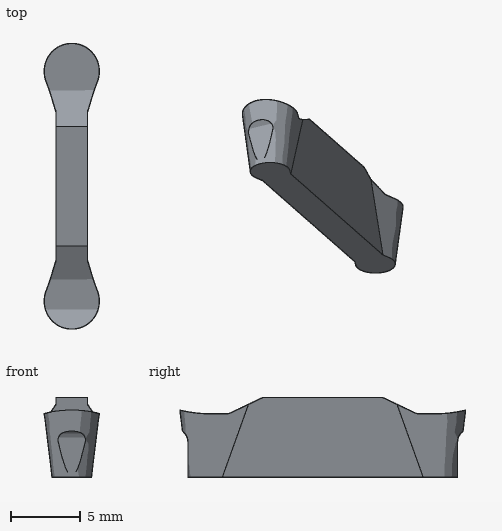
import cadquery as cq
import math

overall_length = 20.66
body_width = 2.3
body_height = 5.78
shelf_height = 4.59
nose_radius = 2.0
clearance_angle = math.radians(7)
neck_angle = math.radians(20)

crown_half_length = 4.31
ramp_angle = math.radians(25.5)
ramp_root_radius = 0.7
rake_start = 8.04
rake_radius = 10.0

relief_y = 9.75
relief_straight_height = 2.54
relief_runout_radius = 1.0

rake_length = overall_length / 2 - rake_start
tip_rise = rake_radius - math.sqrt(rake_radius**2 - rake_length**2)
tip_overhang = tip_rise * math.tan(clearance_angle)
nose_center_y = overall_length / 2 - nose_radius - tip_overhang
ramp_end_y = crown_half_length + (body_height - shelf_height) / math.tan(ramp_angle)
cut_margin = 1.0
cut_end_y = overall_length / 2 + cut_margin
cut_width = 2 * (nose_radius + cut_margin)


def nose_radius_at(z):
    """Radius of the nose cone at height z."""
    return nose_radius + (z - shelf_height) * math.tan(clearance_angle)


def add_outline(plane, radius):
    """Dog-bone outline: a parallel body, necks tangent to a round nose at each end."""
    half_width = body_width / 2
    tangent_x = radius * math.cos(neck_angle)
    tangent_y = nose_center_y - radius * math.sin(neck_angle)
    tip_y = nose_center_y + radius
    neck_y = tangent_y - (tangent_x - half_width) / math.tan(neck_angle)
    return (
        plane.moveTo(half_width, -neck_y)
        .lineTo(half_width, neck_y)
        .lineTo(tangent_x, tangent_y)
        .threePointArc((0, tip_y), (-tangent_x, tangent_y))
        .lineTo(-half_width, neck_y)
        .lineTo(-half_width, -neck_y)
        .lineTo(-tangent_x, -tangent_y)
        .threePointArc((0, -tip_y), (tangent_x, -tangent_y))
        .close()
    )


def make_blank():
    """Full-height blank whose noses and necks taper by the clearance angle."""
    base = add_outline(cq.Workplane("XY"), nose_radius_at(0))
    top_plane = base.workplane(offset=body_height)
    return add_outline(top_plane, nose_radius_at(body_height)).loft(ruled=True)


def extrude_across(profile):
    """Extrude a YZ profile across the full width, centred on X = 0."""
    return profile.extrude(cut_width / 2, both=True)


def make_top_cut():
    """Material above the ramp, shelf and concave rake face of the +Y end."""
    root_tangent = ramp_root_radius * math.tan(ramp_angle / 2)
    root_start_y = ramp_end_y - root_tangent * math.cos(ramp_angle)
    root_start_z = shelf_height + root_tangent * math.sin(ramp_angle)
    rake_end_length = cut_end_y - rake_start
    rake_end_z = shelf_height + rake_radius - math.sqrt(rake_radius**2 - rake_end_length**2)
    cut_top_z = body_height + cut_margin
    profile = (
        cq.Workplane("YZ")
        .moveTo(crown_half_length, body_height)
        .lineTo(root_start_y, root_start_z)
        .tangentArcPoint((ramp_end_y + root_tangent, shelf_height), relative=False)
        .lineTo(rake_start, shelf_height)
        .tangentArcPoint((cut_end_y, rake_end_z), relative=False)
        .lineTo(cut_end_y, cut_top_z)
        .lineTo(crown_half_length, cut_top_z)
        .close()
    )
    return extrude_across(profile)


def make_relief_cut():
    """Vertical flat on the front of the +Y nose, running out upward in an arc."""
    half_sweep = math.radians(45)
    arc_center_y = relief_y + relief_runout_radius
    runout_top_z = relief_straight_height + relief_runout_radius
    mid_y = arc_center_y - relief_runout_radius * math.cos(half_sweep)
    mid_z = relief_straight_height + relief_runout_radius * math.sin(half_sweep)
    profile = (
        cq.Workplane("YZ")
        .moveTo(relief_y, -cut_margin)
        .lineTo(relief_y, relief_straight_height)
        .threePointArc((mid_y, mid_z), (arc_center_y, runout_top_z))
        .lineTo(cut_end_y, runout_top_z)
        .lineTo(cut_end_y, -cut_margin)
        .close()
    )
    return extrude_across(profile)


result = make_blank()
for end_cut in (make_top_cut(), make_relief_cut()):
    result = result.cut(end_cut).cut(end_cut.mirror("XZ"))